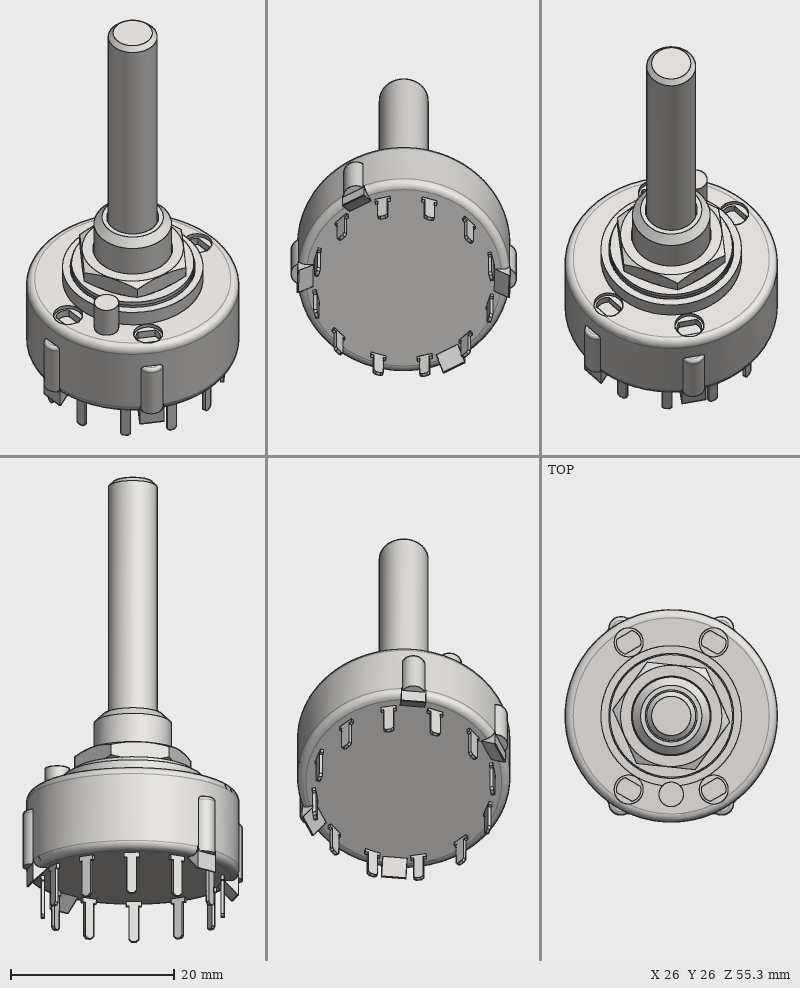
import cadquery as cq
drum_diameter = 26.0
drum_height = 10.5
drum_edge_radius = 1.0
boss_diameter = 17.2
boss_top = 12.5
pedestal_groove_diameter = 15.3
pedestal_groove_depth = 0.3

bushing_diameter = 9.5
bushing_top = 20.5
bushing_chamfer = 1.0
bushing_bore_diameter = 6.35
bushing_bore_depth = 5.0
shaft_diameter = 6.0
shaft_top = 50.2
shaft_chamfer = 0.6

locating_pin_diameter = 3.0
locating_pin_offset = 9.6
locating_pin_top = 14.5

clip_angles = [60, 120, 240, 300]
clip_hole_diameter = 3.55
clip_hole_radius = 10.4
clip_hole_depth = 0.5
slot_length = 3.0
slot_width = 2.1
slot_depth = 1.5
rib_diameter = 3.0
rib_radius = 12.3
rib_bottom = 0.45
rib_top = 7.5
rib_edge_radius = 0.45
foot_width = 3.0
foot_outer_radius = drum_diameter / 2
foot_bottom = -1.7
foot_tip_thickness = 0.15
foot_root_thickness = 1.9
foot_root_top = 1.5

overall_height = 55.3
terminal_count = 12
terminal_radius = 11.0
terminal_thickness = 0.4
terminal_width = 1.2
terminal_tip_chamfer = 0.3
terminal_bottom = shaft_top - overall_height
shoulder_width = 1.9
shoulder_drop = 0.6
terminal_embed = 0.5

washer_diameter = 15.0
washer_top = 13.2
washer_bore = 9.75
washer_thickness = 0.5
washer_bottom = washer_top - washer_thickness

nut_corner_diameter = 14.4
nut_bore = 9.75
nut_top = 15.5
nut_turn = -6.0
nut_face_diameter = 12.4
nut_chamfer_height = 0.5


def cylinder(diameter, bottom, top, x=0.0, y=0.0):
    return cq.Workplane("XY", origin=(x, y, bottom)).circle(diameter / 2).extrude(top - bottom)


def turned(shape, angle):
    """Turn a shape built on the +X axis about Z."""
    return shape.rotate((0, 0, 0), (0, 0, 1), angle)


def clip_hole():
    hole = cylinder(clip_hole_diameter, drum_height - clip_hole_depth, drum_height, x=clip_hole_radius)
    slot_floor = drum_height - slot_depth
    slot_round = cylinder(slot_length, slot_floor, drum_height, x=clip_hole_radius)
    slot_flats = cq.Workplane("XY", origin=(clip_hole_radius, 0, slot_floor)).box(
        slot_width, slot_length, slot_depth, centered=(True, True, False)
    )
    return hole.union(slot_round.intersect(slot_flats))


def clip_rib():
    return cylinder(rib_diameter, rib_bottom, rib_top, x=rib_radius).faces(">Z").edges().fillet(rib_edge_radius)


def clip_foot():
    outer = foot_outer_radius
    return (
        cq.Workplane("XZ", origin=(0, foot_width / 2, 0))
        .moveTo(outer, foot_bottom)
        .lineTo(outer, rib_bottom)
        .lineTo(outer - foot_tip_thickness, foot_root_top)
        .lineTo(outer - foot_root_thickness, foot_root_top)
        .lineTo(outer - foot_root_thickness, 0)
        .lineTo(outer - foot_tip_thickness, foot_bottom)
        .close()
        .extrude(foot_width)
    )


def terminal():
    blade = (
        cq.Workplane("XY", origin=(terminal_radius, 0, terminal_bottom))
        .box(terminal_thickness, terminal_width, terminal_embed - terminal_bottom, centered=(True, True, False))
        .faces("<Z")
        .edges("|X")
        .chamfer(terminal_tip_chamfer)
    )
    shoulder = cq.Workplane("XY", origin=(terminal_radius, 0, -shoulder_drop)).box(
        terminal_thickness, shoulder_width, shoulder_drop + terminal_embed, centered=(True, True, False)
    )
    return blade.union(shoulder)


def make_housing():
    drum = cylinder(drum_diameter, 0, drum_height).edges().fillet(drum_edge_radius)
    for angle in clip_angles:
        drum = drum.cut(turned(clip_hole(), angle))
    boss = cylinder(boss_diameter, drum_height, boss_top)
    groove_floor = boss_top - pedestal_groove_depth
    groove = cylinder(pedestal_groove_diameter, groove_floor, boss_top)
    pedestal = cylinder(washer_diameter, groove_floor, washer_bottom)
    bushing = cylinder(bushing_diameter, drum_height, bushing_top).faces(">Z").chamfer(bushing_chamfer)
    bore_floor = bushing_top - bushing_bore_depth
    bore = cylinder(bushing_bore_diameter, bore_floor, bushing_top)
    shaft = cylinder(shaft_diameter, drum_height, shaft_top).faces(">Z").chamfer(shaft_chamfer)
    locating_pin = cylinder(locating_pin_diameter, drum_height / 2, locating_pin_top, y=-locating_pin_offset)

    body = drum.union(boss).cut(groove).union(pedestal).union(bushing).cut(bore).union(shaft).union(locating_pin)
    for angle in clip_angles:
        body = body.union(turned(clip_rib(), angle)).union(turned(clip_foot(), angle))
    pitch = 360 / terminal_count
    for index in range(terminal_count):
        body = body.union(turned(terminal(), (index + 0.5) * pitch))
    return body


def make_washer():
    washer_blank = cylinder(washer_diameter, washer_bottom, washer_top)
    return washer_blank.cut(cylinder(washer_bore, washer_bottom, washer_top))


def make_nut():
    height = nut_top - washer_top
    hexagon = cq.Workplane("XY", origin=(0, 0, washer_top)).polygon(6, nut_corner_diameter).extrude(height)
    face_radius = nut_face_diameter / 2
    corner_radius = nut_corner_diameter / 2
    chamfer_envelope = (
        cq.Workplane("XZ")
        .moveTo(0, washer_top)
        .lineTo(face_radius, washer_top)
        .lineTo(corner_radius, washer_top + nut_chamfer_height)
        .lineTo(corner_radius, nut_top - nut_chamfer_height)
        .lineTo(face_radius, nut_top)
        .lineTo(0, nut_top)
        .close()
        .revolve(360, (0, 0), (0, 1))
    )
    blank = turned(hexagon, nut_turn).intersect(chamfer_envelope)
    return blank.cut(cylinder(nut_bore, washer_top, nut_top))


housing = make_housing()
washer = make_washer()
nut = make_nut()

result = cq.Compound.makeCompound([housing.val(), washer.val(), nut.val()])